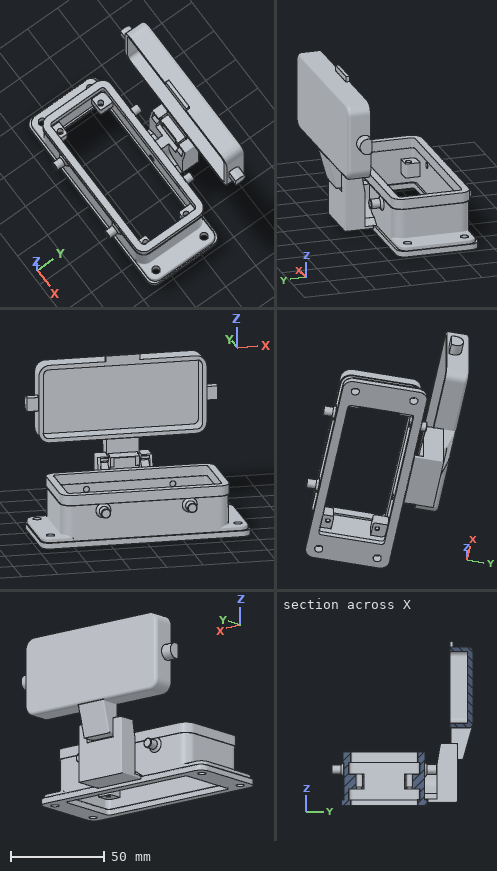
import cadquery as cq
import math

flange_length = 115.5
flange_width = 46.0
flange_height = 3.3
flange_corner = 5.0
flange_step = 0.7
pad_top = 5.8
pad_edge_fillet = 0.9
wall_foot_fillet = 0.8

wall_length = 92.6
wall_width = 43.5
wall_corner = 6.0
collar_overhang = 0.4
collar_bottom = 23.2
housing_height = 29.0

opening_length = 84.9
opening_width = 35.8
opening_corner = 1.7
cavity_relief = 1.1
floor_lip_top = 3.2

mount_hole_diameter = 4.3
mount_hole_x = 51.65
mount_hole_y = 16.0

boss_reach = 7.1
boss_corner = 1.2
boss_bottom = 9.0
boss_top = 17.0
boss_hole_x = 38.8
boss_hole_y = 13.5
boss_hole_diameter = 3.2
boss_hole_floor = 1.0
boss_pilot_diameter = 2.4

pin_x = 23.8
pin_z = 19.5
pin_diameter = 5.2
pin_tip_y = 28.3
pin_tip_chamfer = 0.3
pin_cone_diameter = 8.2
pin_cone_end_y = 23.1
pin_core_diameter = 3.2
hinge_mark_diameter = 3.8
hinge_mark_z = 7.6
mark_depth = 0.1

bracket_half = 15.2
bracket_back_y = 39.5
bracket_front_y = 28.3
bracket_top_front_y = 30.1
bracket_bottom = 1.8
bracket_top = 33.6
bracket_shelf = 22.9
bracket_edge_fillet = 0.5
tongue_front_y = 23.5
tongue_top = 3.6
cheek_wall = 1.7
cheek_recess_back_y = 32.7
cheek_recess_lip_y = 30.6
cheek_recess_top = 32.8
cheek_undercut_top = 31.1
cheek_ramp_top = 29.8
cheek_ramp_bottom = 25.0

neck_half_top = 2.9
neck_round = 8.0
neck_round_bottom = 6.7

cover_length = wall_length
cover_bottom = 41.9
cover_height = 43.5
cover_corner = 6.0
cover_front_y = 35.1
cover_depth = 12.6
cover_wall = 2.5
cover_back_fillet = 2.0
cover_pocket_depth = 9.6
cover_pocket_corner = 3.0

tab_width = 18.7
tab_thickness = 2.1
overall_height = 88.5

lug_reach = 6.2
lug_radius = 4.4
lug_flat_offset = 2.3
lug_axis_y = 38.7

arm_half = 9.0
arm_front_y = 35.7
arm_bottom = 24.7
arm_root_y = 47.4
arm_heel_y = 42.4
arm_edge_fillet = 0.6
arm_root_depth = 0.5
arm_root_fillet = 0.4
foot_half = 8.0
foot_back_top = 33.7
foot_crest_y = 32.2
foot_crest_z = 33.1
foot_front_y = 30.5
foot_front_top = 32.8
foot_lip = 0.3
foot_recess_half = 5.9
foot_recess_depth = 0.5
foot_rib_bottom = 27.5

cover_middle_z = cover_bottom + cover_height / 2

through = 1.0
edge_margin = 0.1


def rounded_block(length, width, bottom, top, corner):
    """Block centred on the Z axis with rounded vertical edges."""
    block = cq.Workplane("XY").workplane(offset=bottom).rect(length, width).extrude(top - bottom)
    return block.edges("|Z").fillet(corner)


def four_corners(x, y):
    return [(sx * x, sy * y) for sx in (-1, 1) for sy in (-1, 1)]


def cylinder_y(x, z, diameter, start_y, end_y):
    """Cylinder along +Y from start_y to end_y."""
    plane = cq.Plane(origin=(x, start_y, z), xDir=(1, 0, 0), normal=(0, 1, 0))
    return cq.Workplane(plane).circle(diameter / 2).extrude(end_y - start_y)


def side_profile(points, half_width, start_x=None):
    """Extrudes a (y, z) outline along X, centred unless start_x is given."""
    if start_x is None:
        return cq.Workplane("YZ").polyline(points).close().extrude(half_width, both=True)
    return cq.Workplane("YZ").workplane(offset=start_x).polyline(points).close().extrude(2 * half_width)


def housing_shell():
    flange = rounded_block(flange_length, flange_width, 0, flange_height, flange_corner)
    pad_length = flange_length - 2 * flange_step
    pads = rounded_block(pad_length, wall_width, flange_height, pad_top, flange_corner)
    pads = pads.faces(">Z").edges().fillet(pad_edge_fillet)
    wall = rounded_block(wall_length, wall_width, flange_height, housing_height, wall_corner)
    collar = rounded_block(
        wall_length + 2 * collar_overhang, wall_width + 2 * collar_overhang,
        collar_bottom, housing_height, wall_corner,
    )
    base = pads.union(wall)
    foot_edges = cq.selectors.BoxSelector(
        (-wall_length / 2 - through, -wall_width / 2 - through, pad_top - edge_margin),
        (wall_length / 2 + through, wall_width / 2 + through, pad_top + edge_margin),
    )
    base = base.edges(foot_edges).fillet(wall_foot_fillet)
    return flange.union(base).union(collar)


def corner_bosses():
    """Blocks in the four corners of the cavity, each with a stepped screw hole."""
    side = boss_reach + cavity_relief
    height = boss_top - boss_bottom
    hole_depth = height - boss_hole_floor
    block = cq.Workplane("XY").box(side, side, height, centered=False)
    block = block.edges("|Z").edges("<X and <Y").fillet(boss_corner)
    inset_x = boss_hole_x - opening_length / 2 + boss_reach
    inset_y = boss_hole_y - opening_width / 2 + boss_reach
    block = block.faces(">Z").workplane(origin=(inset_x, inset_y, height)).cboreHole(
        boss_pilot_diameter, boss_hole_diameter, hole_depth
    )
    block = block.translate((opening_length / 2 - boss_reach, opening_width / 2 - boss_reach, boss_bottom))
    right = block.union(block.mirror("XZ"))
    return right.union(right.mirror("YZ"))


def locking_pin():
    """Pin standing out of the +Y wall, with a conical collar at its root."""
    pin = cylinder_y(0, 0, pin_diameter, wall_width / 2 - through, pin_tip_y)
    pin = pin.faces(">Y").chamfer(pin_tip_chamfer)
    cone = cq.Workplane("XY").add(cq.Solid.makeCone(
        pin_cone_diameter / 2, pin_diameter / 2, pin_cone_end_y - wall_width / 2,
        pnt=cq.Vector(0, wall_width / 2, 0), dir=cq.Vector(0, 1, 0),
    ))
    return pin.union(cone)


def hinge_neck():
    """Flared block joining the bracket to the back wall, outlined in X and Z."""
    def half(side):
        flare_half = neck_half_top + neck_round
        middle = neck_round * (1 - math.sqrt(0.5))
        return (
            cq.Workplane("XZ", origin=(0, bracket_front_y, 0))
            .moveTo(0, tongue_top)
            .lineTo(0, bracket_shelf)
            .lineTo(side * neck_half_top, bracket_shelf)
            .lineTo(side * neck_half_top, neck_round_bottom + neck_round)
            .threePointArc(
                (side * (neck_half_top + middle), neck_round_bottom + middle),
                (side * flare_half, neck_round_bottom),
            )
            .lineTo(side * bracket_half, tongue_top)
            .close()
            .extrude(bracket_front_y - wall_width / 2 + through)
        )

    return half(1).union(half(-1))


def hinge_bracket():
    outline = [
        (bracket_back_y, bracket_bottom),
        (bracket_back_y, bracket_top),
        (bracket_top_front_y, bracket_top),
        (bracket_front_y, bracket_shelf),
        (bracket_front_y, tongue_top),
        (tongue_front_y, tongue_top),
        (tongue_front_y, bracket_bottom),
    ]
    bracket = side_profile(outline, bracket_half)
    bracket = bracket.faces("<X or >X").edges(">Y or >Z or <Z").fillet(bracket_edge_fillet)
    slot = cq.Workplane("XY").box(
        2 * arm_half,
        bracket_back_y - bracket_front_y + 2 * through,
        bracket_top - bracket_shelf + through,
        centered=(True, False, False),
    )
    bracket = bracket.cut(slot.translate((0, bracket_front_y - through, bracket_shelf)))
    mouth_y = bracket_front_y - through
    recess = [
        (mouth_y, cheek_ramp_bottom),
        (cheek_recess_back_y, cheek_ramp_top),
        (cheek_recess_back_y, cheek_undercut_top),
        (cheek_recess_lip_y, cheek_undercut_top),
        (cheek_recess_lip_y, cheek_recess_top),
        (mouth_y, cheek_recess_top),
    ]
    width = bracket_half - cheek_wall - arm_half
    for start in (arm_half, -arm_half - width):
        bracket = bracket.cut(side_profile(recess, width / 2, start))
    return bracket


def make_housing():
    body = housing_shell()
    opening = rounded_block(opening_length, opening_width, 0, housing_height, opening_corner)
    cavity = rounded_block(
        opening_length + 2 * cavity_relief, opening_width + 2 * cavity_relief,
        floor_lip_top, collar_bottom, opening_corner + cavity_relief,
    )
    body = body.union(hinge_neck()).union(hinge_bracket())
    for x in (-pin_x, pin_x):
        pin = locking_pin().translate((x, 0, pin_z))
        body = body.union(pin).union(pin.mirror("XZ"))
    body = body.cut(opening).cut(cavity).union(corner_bosses())
    flange_holes = four_corners(mount_hole_x, mount_hole_y)
    body = body.cut(
        cq.Workplane("XY").pushPoints(flange_holes).circle(mount_hole_diameter / 2).extrude(pad_top)
    )
    inner = opening_width / 2 + cavity_relief
    for x in (-pin_x, pin_x):
        body = body.cut(cylinder_y(x, pin_z, pin_core_diameter, inner - through, inner + mark_depth))
        body = body.cut(cylinder_y(x, pin_z, pin_core_diameter, -inner - mark_depth, -inner + through))
    body = body.cut(cylinder_y(0, hinge_mark_z, hinge_mark_diameter, inner - through, inner + mark_depth))
    return body


def upright_block(length, height, corner, start_y, depth):
    """Block with rounded edges along Y, centred on the cover."""
    plane = cq.Plane(origin=(0, start_y, cover_middle_z), xDir=(-1, 0, 0), normal=(0, 1, 0))
    return cq.Workplane(plane).rect(length, height).extrude(depth).edges("|Y").fillet(corner)


def cover_lug():
    """Round bar with a flat front, running across the whole cover along X."""
    reach = cover_length / 2 + lug_reach
    flat_half = math.sqrt(lug_radius**2 - lug_flat_offset**2)
    flat_y = lug_axis_y - lug_flat_offset
    return (
        cq.Workplane("YZ").moveTo(flat_y, cover_middle_z - flat_half)
        .lineTo(flat_y, cover_middle_z + flat_half)
        .threePointArc((lug_axis_y + lug_radius, cover_middle_z), (flat_y, cover_middle_z - flat_half))
        .close().extrude(reach, both=True)
    )


def cover_arm():
    """Arm under the cover, with a foot reaching forward between the bracket cheeks."""
    root_z = cover_bottom + arm_root_depth
    arm = side_profile([
        (arm_front_y, arm_bottom),
        (arm_front_y, root_z),
        (arm_root_y, root_z),
        (arm_heel_y, arm_bottom),
    ], arm_half)
    arm = arm.faces("<X or >X").edges(">Y or <Z").fillet(arm_edge_fillet)
    foot = side_profile([
        (arm_front_y, bracket_shelf),
        (arm_front_y, foot_back_top),
        (foot_crest_y, foot_crest_z),
        (foot_front_y, foot_front_top),
        (foot_front_y, bracket_shelf),
    ], foot_half)
    recess_top = foot_front_top - foot_lip
    upper_recess = cq.Workplane("XY").box(
        2 * foot_recess_half, foot_recess_depth, recess_top - bracket_shelf, centered=(True, False, False)
    )
    lower_recess = cq.Workplane("XY").box(
        2 * foot_half, foot_recess_depth, foot_rib_bottom - bracket_shelf, centered=(True, False, False)
    )
    for recess in (upper_recess, lower_recess):
        foot = foot.cut(recess.translate((0, foot_front_y, bracket_shelf)))
    return arm.union(foot)


def make_cover():
    lid = upright_block(cover_length, cover_height, cover_corner, cover_front_y, cover_depth)
    lid = lid.faces(">Y").edges().fillet(cover_back_fillet)
    lid = lid.union(cover_arm())
    arm_root = cq.selectors.BoxSelector(
        (-arm_half - through, cover_front_y, cover_bottom - edge_margin),
        (arm_half + through, cover_front_y + cover_depth, cover_bottom + edge_margin),
    )
    lid = lid.edges(arm_root).edges("|Y").fillet(arm_root_fillet)
    lid = lid.union(cover_lug())
    tab_bottom = cover_bottom + cover_height - through
    tab = cq.Workplane("XY").box(
        tab_width, tab_thickness, overall_height - tab_bottom, centered=(True, False, False)
    )
    lid = lid.union(tab.translate((0, cover_front_y, tab_bottom)))
    pocket = upright_block(
        cover_length - 2 * cover_wall, cover_height - 2 * cover_wall,
        cover_pocket_corner, cover_front_y, cover_pocket_depth,
    )
    return lid.cut(pocket)


housing = make_housing()
cover = make_cover()
result = cq.Compound.makeCompound([housing.val(), cover.val()])